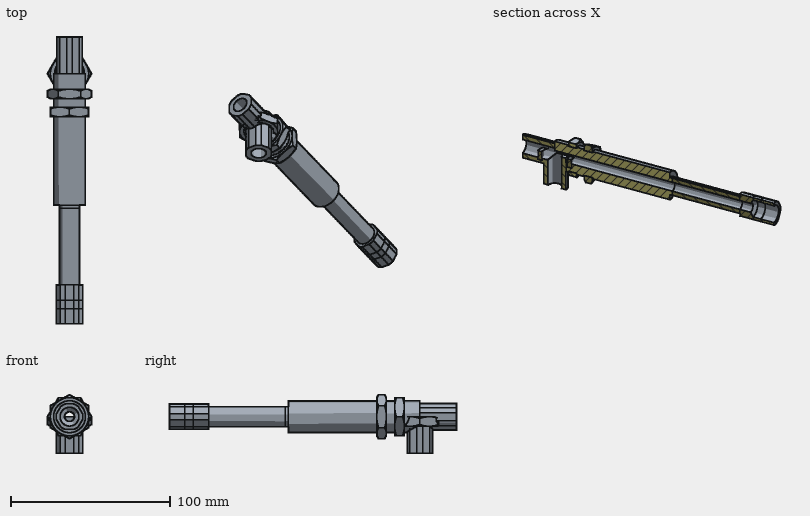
import cadquery as cq
import math

FITTING_END_LENGTH = 9.5
FITTING_MIDDLE_LENGTH = 5.5
FITTING_LENGTH = 2 * FITTING_END_LENGTH + FITTING_MIDDLE_LENGTH
TOTAL_LENGTH = 180.0
CONNECTOR_LENGTH = 23.0
HOUSING_LENGTH = 82.5
HOUSING_REAR = TOTAL_LENGTH - CONNECTOR_LENGTH
HOUSING_FRONT = HOUSING_REAR - HOUSING_LENGTH
TIP_LENGTH = 1.8
TIP_FRONT = HOUSING_FRONT - TIP_LENGTH

HOUSING_DIAMETER = 20.0
ROD_DIAMETER = 12.7
PASSAGE_DIAMETER = 6.0
FITTING_MOUTH_DIAMETER = 11.8
FITTING_MOUTH_DEPTH = 15.0
DRILL_POINT_ANGLE = 118.0
CONNECTOR_DIAMETER = 16.8
CONNECTOR_BORE = 9.5
CONNECTOR_FLATS = 16.0

NUT_FLATS = 24.0
NUT_THICKNESS = 6.0
NUT_CHAMFER_ANGLE = 30.0
NUT_BORE = 18.5
REAR_NUT_SETBACK = 9.75
FRONT_NUT_SETBACK = 21.0


def across_corners(flats):
    return flats / math.cos(math.pi / 6)


def cylinder(diameter, length):
    return cq.Workplane("XY").circle(diameter / 2).extrude(length)


def hex_bar(flats, length):
    """Hexagonal bar along +Z with two corners on the X axis."""
    return cq.Workplane("XY").polygon(6, across_corners(flats)).extrude(length)


def flatted_bar(length):
    """Round bar along +Z with six narrow flats, two of them facing +Y and -Y."""
    return cylinder(CONNECTOR_DIAMETER, length).intersect(hex_bar(CONNECTOR_FLATS, length))


def along_y(body, start, turn=0.0):
    """Turn a body about its own axis, then lay it along +Y from the given start."""
    turned = body.rotate((0, 0, 0), (0, 0, 1), turn)
    return turned.rotate((0, 0, 0), (1, 0, 0), -90).translate((0, start, 0))


def down_port(body):
    """Point a body down along -Z below the rear end of the housing."""
    return body.rotate((0, 0, 0), (1, 0, 0), 180).translate((0, HOUSING_REAR, 0))


def nut():
    """Hexagon nut with corners chamfered on both faces, standing on Z = 0."""
    face_radius = NUT_FLATS / 2
    corner_radius = across_corners(NUT_FLATS) / 2
    drop = (corner_radius - face_radius) * math.tan(math.radians(NUT_CHAMFER_ANGLE))
    envelope = (
        cq.Workplane("XZ")
        .polyline([
            (0, 0),
            (face_radius, 0),
            (corner_radius, drop),
            (corner_radius, NUT_THICKNESS - drop),
            (face_radius, NUT_THICKNESS),
            (0, NUT_THICKNESS),
        ])
        .close()
        .revolve(360, (0, 0, 0), (0, 1, 0))
    )
    return hex_bar(NUT_FLATS, NUT_THICKNESS).intersect(envelope).cut(cylinder(NUT_BORE, NUT_THICKNESS))


port_nut = down_port(nut())

clamping_nuts = []
for setback, turn in ((REAR_NUT_SETBACK, 0), (FRONT_NUT_SETBACK, 90)):
    start = HOUSING_REAR - setback - NUT_THICKNESS
    clamping_nuts.append(along_y(nut(), start, turn).cut(port_nut))

elbow = (
    along_y(flatted_bar(CONNECTOR_LENGTH), HOUSING_REAR, 90)
    .union(down_port(flatted_bar(CONNECTOR_LENGTH)))
    .cut(along_y(cylinder(CONNECTOR_BORE, CONNECTOR_LENGTH), HOUSING_REAR))
    .cut(down_port(cylinder(CONNECTOR_BORE, CONNECTOR_LENGTH)))
    .cut(port_nut)
)

housing = (
    along_y(cylinder(HOUSING_DIAMETER, HOUSING_LENGTH), HOUSING_FRONT)
    .union(along_y(cylinder(ROD_DIAMETER, TIP_LENGTH), TIP_FRONT))
    .cut(along_y(cylinder(PASSAGE_DIAMETER, HOUSING_LENGTH + TIP_LENGTH), TIP_FRONT))
    .cut(down_port(flatted_bar(CONNECTOR_LENGTH)))
    .cut(port_nut)
)
for clamping_nut in clamping_nuts:
    housing = housing.cut(clamping_nut)

rod_length = TIP_FRONT - FITTING_LENGTH
rod_tube = cylinder(ROD_DIAMETER, rod_length).cut(cylinder(PASSAGE_DIAMETER, rod_length))
rod = along_y(rod_tube, FITTING_LENGTH)

cone_radius = FITTING_MOUTH_DIAMETER / 2
cone_length = cone_radius / math.tan(math.radians(DRILL_POINT_ANGLE / 2))
fitting_bore = (
    cq.Workplane("XZ")
    .polyline([
        (0, 0),
        (cone_radius, 0),
        (cone_radius, FITTING_MOUTH_DEPTH),
        (0, FITTING_MOUTH_DEPTH + cone_length),
    ])
    .close()
    .revolve(360, (0, 0, 0), (0, 1, 0))
    .union(cylinder(PASSAGE_DIAMETER, FITTING_LENGTH))
)
fitting_sections = []
section_start = 0.0
for section_length in (FITTING_END_LENGTH, FITTING_MIDDLE_LENGTH, FITTING_END_LENGTH):
    section = flatted_bar(section_length).translate((0, 0, section_start)).cut(fitting_bore)
    fitting_sections.append(along_y(section, 0))
    section_start += section_length

result = cq.Compound.makeCompound([
    housing.val(),
    elbow.val(),
    port_nut.val(),
    *[clamping_nut.val() for clamping_nut in clamping_nuts],
    rod.val(),
    *[section.val() for section in fitting_sections],
])